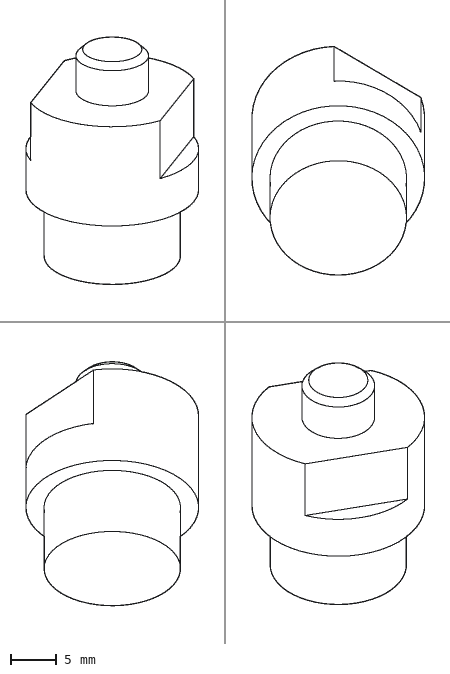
import cadquery as cq

spigot_diameter = 15
spigot_height = 8
collar_diameter = 19
collar_round_height = 5
flat_height = 7
width_across_flats = 15
pin_diameter = 8
pin_height = 5
pin_chamfer = 0.75

flat_base_z = spigot_height + collar_round_height
collar_height = collar_round_height + flat_height

spigot = cq.Workplane("XY").circle(spigot_diameter / 2).extrude(spigot_height)
body = (
    spigot.faces(">Z").workplane()
    .circle(collar_diameter / 2).extrude(collar_height)
    .faces(">Z").workplane()
    .circle(pin_diameter / 2).extrude(pin_height)
    .faces(">Z").edges().chamfer(pin_chamfer)
)

flat_depth = (collar_diameter - width_across_flats) / 2
flat_center_x = (width_across_flats + flat_depth) / 2
flat_cutters = (
    cq.Workplane("XY").workplane(offset=flat_base_z)
    .pushPoints([(-flat_center_x, 0), (flat_center_x, 0)])
    .rect(flat_depth, collar_diameter)
    .extrude(flat_height)
)

result = body.cut(flat_cutters)